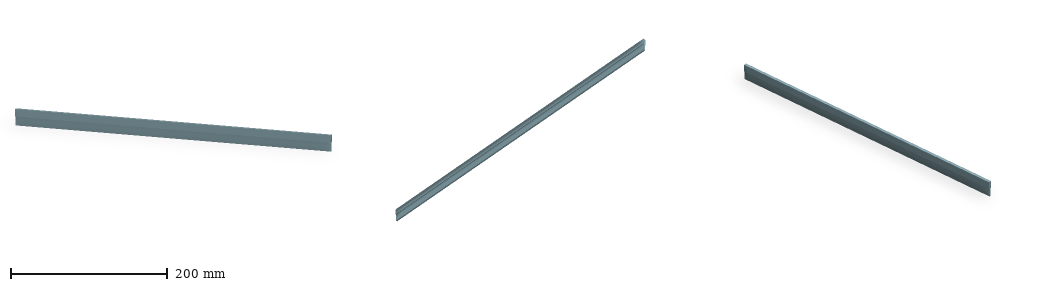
import cadquery as cq

length = 420.0
height = 22.0
head_thickness = 4.0

blade_thickness = 2.0
blade_height = 11.8
head_height = height - blade_height


def bar(thickness, bar_height, bottom):
    """Full-length rectangular bar, centred in X and Y, resting at Z = bottom."""
    return (
        cq.Workplane("XY")
        .workplane(offset=bottom)
        .box(length, thickness, bar_height, centered=(True, True, False))
    )


blade = bar(blade_thickness, blade_height, 0)
head = bar(head_thickness, head_height, blade_height)

result = blade.union(head)